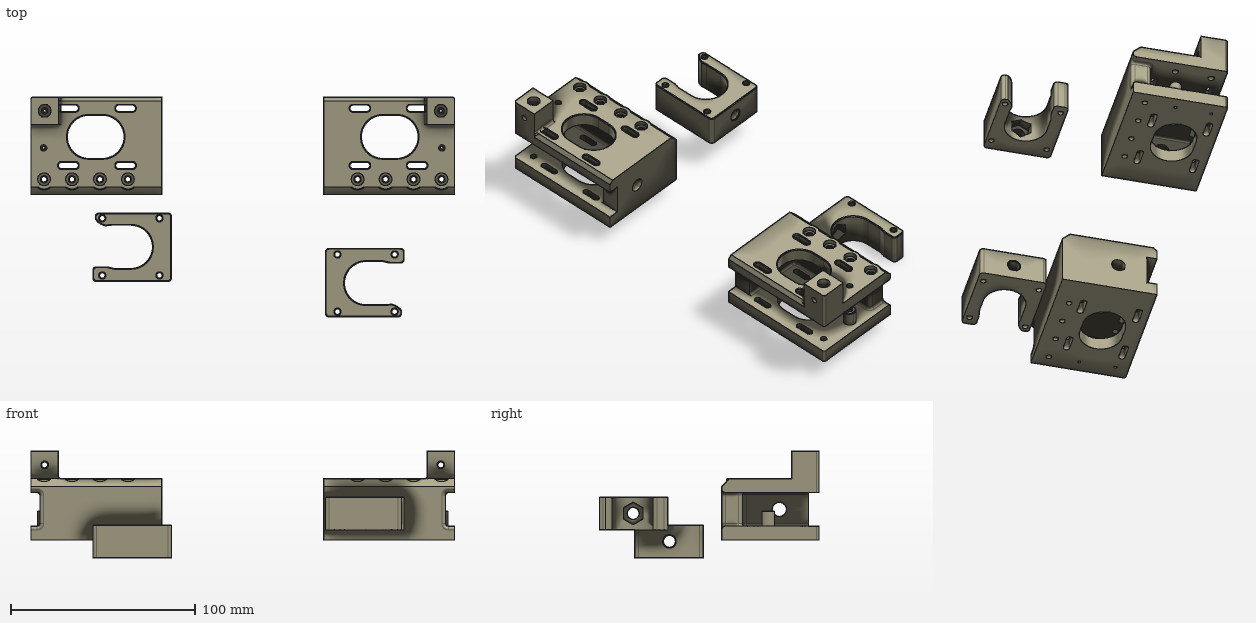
import cadquery as cq
import math

OVERALL_X = 230.0
BACK_Y = 59.7
ASSEMBLY_TOP = 29.0
ASSEMBLY_BOTTOM = -29.0
CLAMP_LIFT = 15.2

MOTOR_PITCH = 31.0
HALF_PITCH = MOTOR_PITCH / 2
MOTOR_BORE_R = 11.7

HOUSING_L = 71.0
HOUSING_W = 53.0
PLATE_T = 7.5
POCKET_H = 18.2
HOUSING_H = 2 * PLATE_T + POCKET_H
END_WALL_T = 10.1
FRONT_WALL_T = 11.3
FRONT_WALL_START = 4.8
END_WALL_SETBACK = 5.8
WALL_R = 2.0
POCKET_EDGE_R = 1.4
BACK_CORNER_R = 1.4
FRONT_CHAMFER = 4.1
BACK_CHAMFER = 2.0

MOTOR_X = 36.0
MOTOR_Y = -21.6
OPENING_X = 35.2
OPENING_L = 30.8
SLOT_L = 10.8
SLOT_W = 3.5
END_HOLE_D = 7.5

SCREW_COUNT = 4
SCREW_PITCH = 15.2
FIRST_SCREW_X = 7.1
SCREW_Y = -44.6
SCREW_D = 3.0
SCREW_HEAD_D = 7.0
SCREW_HEAD_DEPTH = 2.5
SCREW_BOSS_R = 5.8

POST_SIDE = 15.0
POST_H = ASSEMBLY_TOP - ASSEMBLY_BOTTOM - HOUSING_H - 9.7
POST_FOOT_R = 1.4
POST_BORE_D = 7.0
POST_CROSS_D = 3.2
PILOT_D = 1.5
PIN_HOLE_D = 3.5
PIN_RECESS_DEPTH = 3.7
PILLAR_X = 7.0
PILLAR_Y = -27.5
PILLAR_D = 7.0
PILLAR_H = 8.3

OVERCUT = 1.2
EDGE_BREAK = 0.5

CLAMP_T = 18.0
CLAMP_END_X = 22.0
CLAMP_SHORT_SIDE_Y = 18.5
CLAMP_LONG_SIDE_Y = -18.9
LONG_ARM_X = -20.7
SHORT_ARM_X = -19.3
CLAMP_CORNER_R = 2.0
LIP_Y = -10.8
LIP_RAMP_START_X = -9.0
LIP_RAMP_END_X = -12.9
CLAMP_SCREW_D = 3.0
CLAMP_BOLT_D = 6.5
NUT_FLATS = 10.5
NUT_DEPTH = 4.5


def box(x0, x1, y0, y1, z0, z1):
    return cq.Workplane("XY").box(x1 - x0, y1 - y0, z1 - z0, centered=False).translate((x0, y0, z0))


def drill(x, y, z0, z1, diameter):
    return cq.Workplane("XY", origin=(x, y, z0)).circle(diameter / 2).extrude(z1 - z0)


def broken_edge_bore(plane, origin, diameter, depth):
    """Bore running into the plane's back side, its mouth widened by the edge break."""
    mouth_r = diameter / 2 + EDGE_BREAK
    bore = cq.Workplane(plane, origin=origin).circle(diameter / 2).extrude(-depth)
    mouth = cq.Workplane(plane, origin=origin).circle(mouth_r).extrude(-EDGE_BREAK, taper=45)
    return bore.union(mouth)


def broken_edge_slot(x, y, length, width):
    """Slot through the whole housing, its upper rim widened by the edge break."""
    slot = cq.Workplane("XY", origin=(x, y, 0)).slot2D(length, width).extrude(HOUSING_H)
    rim = (cq.Workplane("XY", origin=(x, y, HOUSING_H))
           .slot2D(length + 2 * EDGE_BREAK, width + 2 * EDGE_BREAK)
           .extrude(-EDGE_BREAK, taper=45))
    return slot.union(rim)


def pocket_space():
    wall_y = FRONT_WALL_T - HOUSING_W
    end_x = HOUSING_L - END_WALL_T
    space = (cq.Workplane("XY", origin=(0, 0, PLATE_T))
             .moveTo(-OVERCUT, -HOUSING_W - OVERCUT)
             .lineTo(FRONT_WALL_START, -HOUSING_W - OVERCUT)
             .lineTo(FRONT_WALL_START, wall_y)
             .lineTo(end_x, wall_y)
             .lineTo(end_x, OVERCUT)
             .lineTo(-OVERCUT, OVERCUT)
             .close().extrude(POCKET_H))
    wall_corners = cq.selectors.BoxSelector(
        (0, wall_y - OVERCUT, 0), (HOUSING_L, wall_y + OVERCUT, HOUSING_H))
    space = space.edges("|Z").edges(wall_corners).fillet(WALL_R)
    space = space.faces("<Z or >Z").edges("not(<X or <Y or >Y)").fillet(POCKET_EDGE_R)
    recess = box(end_x - WALL_R, HOUSING_L, -END_WALL_SETBACK, OVERCUT, PLATE_T, PLATE_T + POCKET_H)
    return space.union(recess)


def housing_shell():
    shell = box(0, HOUSING_L, -HOUSING_W, 0, 0, HOUSING_H)
    shell = shell.edges(">Z and <Y").chamfer(FRONT_CHAMFER)
    shell = shell.edges(">Z and >Y").chamfer(BACK_CHAMFER)
    shell = shell.cut(pocket_space())
    mouth_rim = cq.selectors.BoxSelector(
        (-OVERCUT, -HOUSING_W - OVERCUT, PLATE_T - OVERCUT),
        (FRONT_WALL_START + OVERCUT, -HOUSING_W + OVERCUT, PLATE_T + POCKET_H + OVERCUT))
    return shell.edges(mouth_rim).fillet(WALL_R)


def post():
    z0 = HOUSING_H - BACK_CHAMFER
    body = box(0, POST_SIDE, -POST_SIDE, 0, z0, HOUSING_H + POST_H)
    foot = (cq.Workplane("XZ", origin=(POST_SIDE, 0, HOUSING_H))
            .lineTo(POST_FOOT_R, 0)
            .radiusArc((0, POST_FOOT_R), POST_FOOT_R)
            .close().extrude(POST_SIDE))
    return body.union(foot)


def add_screw_row(body):
    centers = [FIRST_SCREW_X + i * SCREW_PITCH for i in range(SCREW_COUNT)]
    for x in centers:
        boss = drill(x, SCREW_Y, HOUSING_H - FRONT_CHAMFER, HOUSING_H, 2 * SCREW_BOSS_R)
        body = body.union(boss.edges(">Z").chamfer(EDGE_BREAK))
    for x in centers:
        seat_z = HOUSING_H - SCREW_HEAD_DEPTH
        body = body.cut(broken_edge_bore("XY", (x, SCREW_Y, seat_z), SCREW_D, seat_z))
        body = body.cut(drill(x, SCREW_Y, seat_z, HOUSING_H, SCREW_HEAD_D))
    return body


def cut_motor_openings(body):
    body = body.cut(broken_edge_slot(OPENING_X, MOTOR_Y, OPENING_L, 2 * MOTOR_BORE_R))
    for side_x in (-1, 1):
        for side_y in (-1, 1):
            x = MOTOR_X + side_x * HALF_PITCH
            y = MOTOR_Y + side_y * HALF_PITCH
            body = body.cut(broken_edge_slot(x, y, SLOT_L, SLOT_W))
    return body


def cut_end_hole(body):
    hole = (cq.Workplane("YZ", origin=(HOUSING_L / 2, MOTOR_Y, HOUSING_H / 2))
            .circle(END_HOLE_D / 2).extrude(HOUSING_L))
    return body.cut(hole)


def cut_post_bores(body):
    middle = POST_SIDE / 2
    cross = broken_edge_bore("XZ", (middle, -POST_SIDE, HOUSING_H + POST_H / 2), POST_CROSS_D, POST_SIDE)
    return body.cut(cross).cut(drill(middle, -middle, HOUSING_H, HOUSING_H + POST_H, POST_BORE_D))


def cut_pin_holes(body):
    middle = POST_SIDE / 2
    for x, y, seat_z in ((middle, -middle, PLATE_T), (PILLAR_X, PILLAR_Y, PLATE_T + PILLAR_H)):
        body = body.cut(drill(x, y, 0, seat_z, PILOT_D))
        body = body.cut(drill(x, y, seat_z - PIN_RECESS_DEPTH, HOUSING_H, PIN_HOLE_D))
    return body


def make_housing():
    body = housing_shell().union(post())
    body = body.edges("|Z and <X and >Y").fillet(BACK_CORNER_R)
    pillar = drill(PILLAR_X, PILLAR_Y, PLATE_T, PLATE_T + PILLAR_H, PILLAR_D)
    body = body.union(pillar.edges(">Z").chamfer(EDGE_BREAK))
    body = add_screw_row(body)
    body = cut_motor_openings(body)
    body = cut_end_hole(body)
    body = cut_post_bores(body)
    return cut_pin_holes(body)


def make_clamp():
    outline = (cq.Workplane("XY")
               .moveTo(0, MOTOR_BORE_R)
               .threePointArc((MOTOR_BORE_R, 0), (0, -MOTOR_BORE_R))
               .lineTo(LIP_RAMP_START_X, -MOTOR_BORE_R)
               .lineTo(LIP_RAMP_END_X, LIP_Y)
               .lineTo(LONG_ARM_X, LIP_Y)
               .lineTo(LONG_ARM_X, CLAMP_LONG_SIDE_Y)
               .lineTo(CLAMP_END_X, CLAMP_LONG_SIDE_Y)
               .lineTo(CLAMP_END_X, CLAMP_SHORT_SIDE_Y)
               .lineTo(SHORT_ARM_X, CLAMP_SHORT_SIDE_Y)
               .lineTo(SHORT_ARM_X, 15.0)
               .threePointArc((-18.0, 13.45), (-13.8, 11.39))
               .lineTo(-10.5, MOTOR_BORE_R)
               .close())
    body = outline.extrude(CLAMP_T)
    short_tip = cq.selectors.BoxSelector(
        (SHORT_ARM_X - 0.2, CLAMP_SHORT_SIDE_Y - 0.2, 0),
        (SHORT_ARM_X + 0.2, CLAMP_SHORT_SIDE_Y + 0.2, CLAMP_T))
    body = body.edges("|Z").edges(short_tip).fillet(CLAMP_CORNER_R)
    body = body.edges("|Z and (>X or <X)").fillet(CLAMP_CORNER_R)
    body = body.faces(">Z").edges().chamfer(EDGE_BREAK)
    for x in (-HALF_PITCH, HALF_PITCH):
        for y in (-HALF_PITCH, HALF_PITCH):
            body = body.cut(broken_edge_bore("XY", (x, y, CLAMP_T), CLAMP_SCREW_D, CLAMP_T))
    bolt = broken_edge_bore("YZ", (CLAMP_END_X, 0, CLAMP_T / 2), CLAMP_BOLT_D, CLAMP_END_X)
    nut = (cq.Workplane("YZ", origin=(0, 0, CLAMP_T / 2))
           .polygon(6, NUT_FLATS / math.cos(math.pi / 6)).extrude(MOTOR_BORE_R + NUT_DEPTH)
           .rotate((0, 0, CLAMP_T / 2), (1, 0, CLAMP_T / 2), 30))
    return body.cut(bolt).cut(nut)


left_housing = make_housing().translate((-OVERALL_X / 2, BACK_Y, ASSEMBLY_TOP - HOUSING_H - POST_H))
right_housing = left_housing.mirror("YZ")
left_clamp = make_clamp().translate((-60.7, -21.6, ASSEMBLY_BOTTOM))
right_clamp = (make_clamp().rotate((0, 0, 0), (0, 0, 1), 180)
               .translate((67.0, -41.3, ASSEMBLY_BOTTOM + CLAMP_LIFT)))
result = cq.Compound.makeCompound(
    [left_housing.val(), right_housing.val(), left_clamp.val(), right_clamp.val()])